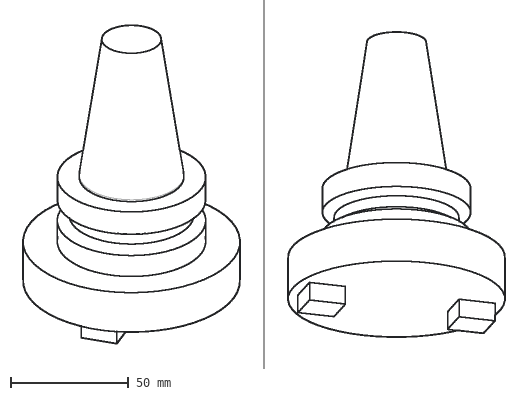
import cadquery as cq

key_height = 8.0
disc_top = 27.0
lower_flange_top = 37.0
groove_bottom = 39.9
groove_top = 44.9
upper_flange_bottom = 47.2
flange_top = 58.0
taper_start = 59.0
overall_height = 124.3

disc_diameter = 92.1
flange_diameter = 63.0
groove_diameter = 53.1
taper_large_diameter = 44.5
taper_small_diameter = 25.2

key_width = 16.0
key_center_offset = 33.3


def make_body():
    """Revolve the disc, grooved flange and tapered shank about Z."""
    disc_radius = disc_diameter / 2
    flange_radius = flange_diameter / 2
    groove_radius = groove_diameter / 2
    taper_large_radius = taper_large_diameter / 2
    taper_small_radius = taper_small_diameter / 2
    profile = [
        (0, key_height),
        (disc_radius, key_height),
        (disc_radius, disc_top),
        (flange_radius, disc_top),
        (flange_radius, lower_flange_top),
        (groove_radius, groove_bottom),
        (groove_radius, groove_top),
        (flange_radius, upper_flange_bottom),
        (flange_radius, flange_top),
        (taper_large_radius, flange_top),
        (taper_large_radius, taper_start),
        (taper_small_radius, overall_height),
        (0, overall_height),
    ]
    return cq.Workplane("XZ").polyline(profile).close().revolve(360, (0, 0), (0, 1))


def make_keys():
    """Drive keys, extended up to the disc top so they merge with the body."""
    return (
        cq.Workplane("XY")
        .pushPoints([(0, -key_center_offset), (0, key_center_offset)])
        .rect(key_width, key_width)
        .extrude(disc_top)
    )


result = make_body().union(make_keys())